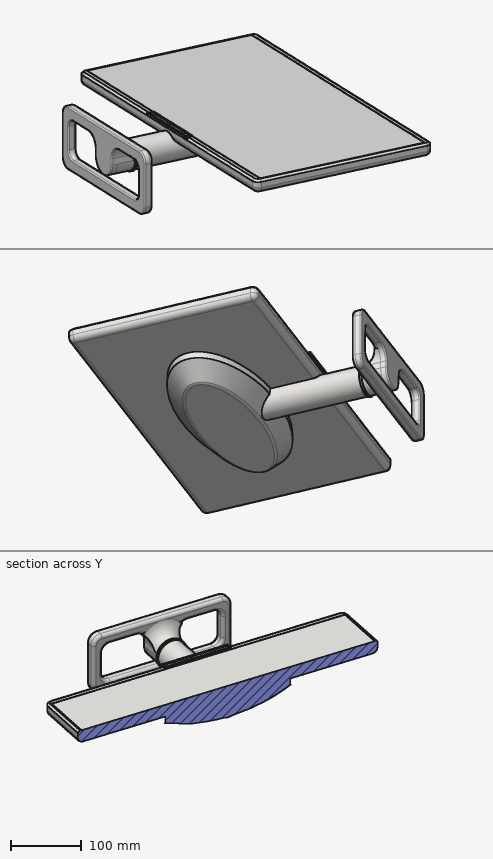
import cadquery as cq
import math


foot_width = 228.0
foot_height = 95.5
foot_thickness = 14.5
foot_corner_radius = 15.0
foot_front_round = 2.0
foot_back_round = 5.5

arm_start = foot_thickness - foot_back_round
arm_radius = 22.5
collar_radius = 24.0
collar_start = 38.5
collar_length = 3.5
flare_length = 22.0
flare_hollow = 5.0

window_width = 195.0
window_height = 60.0
window_corner_radius = 12.2
shoulder_radius = 20.0
window_top = window_height / 2
shoulder_x = arm_radius + shoulder_radius
shoulder_z = window_top - shoulder_radius

monitor_width = 490.0
monitor_back = 395.0
monitor_front = 105.0
monitor_bottom = 10.5
monitor_top = 31.0
monitor_corner_radius = 9.5
monitor_bottom_round = 9.0
monitor_top_chamfer = 3.5
side_bezel = 5.5
end_bezel = 10.5
screen_recess = 0.5

bar_width = 108.0
bar_front = 103.5
bar_back = 114.5
bar_rise = 1.5
bar_thickness = 3.5
bar_rim = 3.0
bar_recess = 0.5

housing_width = 300.0
housing_depth = 144.0
housing_centre = 250.0
housing_bottom = -26.0
housing_base_width = 245.0
housing_base_depth = 96.0
housing_bottom_round = 6.0

monitor_depth = monitor_back - monitor_front
monitor_centre = (monitor_back + monitor_front) / 2
monitor_thickness = monitor_top - monitor_bottom


def along_y(start=0):
    """Workplane whose local x, y are X, Z; negative extrusions run toward +Y."""
    return cq.Workplane("XZ", origin=(0, start, 0))


def add_tongue(outline):
    """Continue an outline along the tongue, from its right shoulder to its left one."""
    mid_offset = shoulder_radius * math.sqrt(0.5)
    mid_x = shoulder_x - mid_offset
    mid_z = shoulder_z + mid_offset
    return (
        outline.lineTo(shoulder_x, window_top)
        .threePointArc((mid_x, mid_z), (arm_radius, shoulder_z))
        .lineTo(arm_radius, 0)
        .threePointArc((0, -arm_radius), (-arm_radius, 0))
        .lineTo(-arm_radius, shoulder_z)
        .threePointArc((-mid_x, mid_z), (-shoulder_x, window_top))
    )


def make_foot():
    """Rounded frame with the tongue left standing in its window."""
    half_width = window_width / 2
    plate = (
        along_y()
        .rect(foot_width, foot_height)
        .extrude(-foot_thickness)
        .edges("|Y")
        .fillet(foot_corner_radius)
    )
    window = along_y().moveTo(half_width, window_top)
    window = (
        add_tongue(window)
        .lineTo(-half_width, window_top)
        .lineTo(-half_width, -window_top)
        .lineTo(half_width, -window_top)
        .close()
        .extrude(-foot_thickness)
    )
    for x_side in "<>":
        for z_side in "<>":
            corner = window.edges("|Y").edges(x_side + "X").edges(z_side + "Z")
            window = corner.fillet(window_corner_radius)
    frame = plate.cut(window)
    frame = frame.faces(">Y").edges().fillet(foot_back_round)
    return frame.faces("<Y").edges().fillet(foot_front_round)


def make_flare():
    """Trumpet-shaped root of the arm, trimmed to the outline of the tongue."""
    flare_end = foot_thickness + flare_length
    rim = foot_height / 2 - foot_back_round
    trumpet = (
        cq.Workplane("XY")
        .moveTo(0, arm_start)
        .lineTo(rim, arm_start)
        .lineTo(rim, foot_thickness)
        .sagittaArc((arm_radius, flare_end), flare_hollow)
        .lineTo(0, flare_end)
        .close()
        .revolve(360, (0, 0, 0), (0, 1, 0))
    )
    trim = along_y(arm_start).moveTo(shoulder_x, rim)
    trim = (
        add_tongue(trim)
        .lineTo(-shoulder_x, rim)
        .close()
        .extrude(arm_start - flare_end)
    )
    return trumpet.intersect(trim)


def make_arm():
    """Tube from the foot to the middle of the housing, with its collar and flare."""
    tube = along_y(arm_start).circle(arm_radius).extrude(arm_start - housing_centre)
    collar = along_y(collar_start).circle(collar_radius).extrude(-collar_length)
    return tube.union(collar).union(make_flare())


def make_monitor():
    """Slab with rounded corners and underside, and a slightly sunken screen."""
    body = (
        cq.Workplane("XY", origin=(0, monitor_centre, monitor_bottom))
        .rect(monitor_width, monitor_depth)
        .extrude(monitor_thickness)
        .edges("|Z")
        .fillet(monitor_corner_radius)
        .faces("<Z")
        .edges()
        .fillet(monitor_bottom_round)
        .faces(">Z")
        .edges()
        .chamfer(monitor_top_chamfer)
    )
    screen = (
        cq.Workplane("XY", origin=(0, monitor_centre, monitor_top))
        .rect(monitor_width - 2 * side_bezel, monitor_depth - 2 * end_bezel)
        .extrude(-screen_recess)
    )
    return body.cut(screen)


def make_bar():
    """Thin bar with a shallow panel sunk inside a narrow rim."""
    bar_top = cq.Workplane("XY", origin=(0, (bar_front + bar_back) / 2, monitor_top + bar_rise))
    bar_depth = bar_back - bar_front
    bar = bar_top.rect(bar_width, bar_depth).extrude(-bar_thickness)
    panel = bar_top.rect(bar_width - 2 * bar_rim, bar_depth - 2 * bar_rim).extrude(-bar_recess)
    return bar.cut(panel)


def make_housing():
    """Elliptical band under the monitor, tapering to a smaller ellipse below the arm's axis."""
    band = (
        cq.Workplane("XY", origin=(0, housing_centre, 0))
        .ellipse(housing_width / 2, housing_depth / 2)
        .extrude(monitor_bottom)
    )
    taper = (
        cq.Workplane("XY", origin=(0, housing_centre, housing_bottom))
        .ellipse(housing_base_width / 2, housing_base_depth / 2)
        .workplane(offset=-housing_bottom)
        .ellipse(housing_width / 2, housing_depth / 2)
        .loft()
        .faces("<Z")
        .edges()
        .fillet(housing_bottom_round)
    )
    return band.union(taper)


result = make_foot().union(make_arm()).union(make_housing()).union(make_monitor()).union(make_bar())